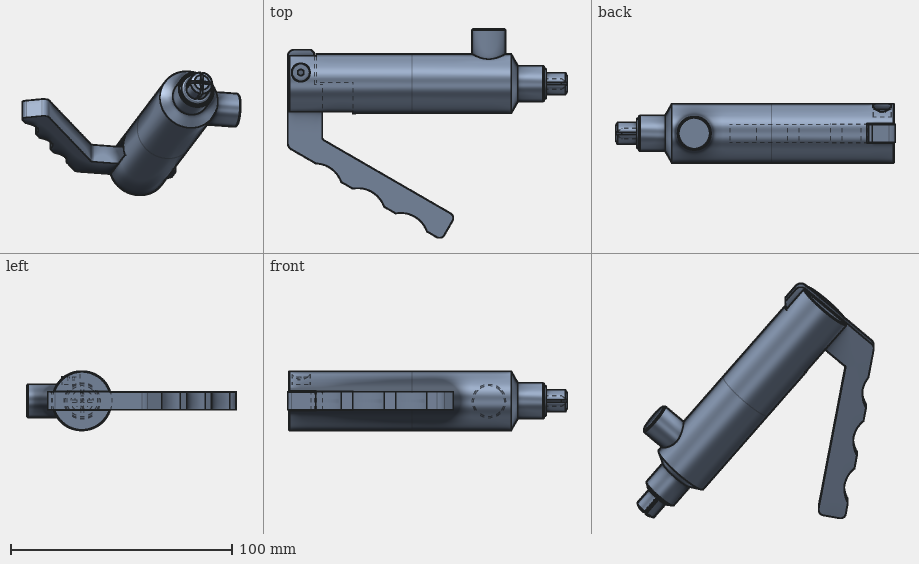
import cadquery as cq
import math

overall_length = 126.4

barrel_radius = 26.9 / 2
barrel_start = 0.5
barrel_end_chamfer = 0.4
barrel_seam_x = 56.0
barrel_end = 101.0
shoulder_end = 104.0
nose_radius = 16.4 / 2
nose_end = 115.9
nose_chamfer = 0.5
collar_end = 117.0
collar_radius = 7.0
collar_fillet = 0.9

tip_radius = 5.0
tip_cone_length = 0.9
tip_end_radius = 3.4
tip_slot_width = 1.1
core_radius = 4.8 / 2
core_cone_start = 123.8
core_end_radius = 0.4

port_radius = 15.2 / 2
port_x = 90.9
port_top = 24.9
port_chamfer = 0.6

slot_width = 8.7
through_slot_end = 12.9
pocket_end = 29.3
pocket_top = 0.6

screw_x = 6.0
screw_y = 5.0
screw_head_radius = 8.0 / 2
counterbore_radius = 8.3 / 2
counterbore_floor = 7.6
screw_head_top = 10.9
hex_across_flats = 2.7
hex_depth = 1.3

handle_thickness = 8.1
handle_top = 15.4
handle_top_width = 12.0
handle_arm_width = 15.7
handle_clearance = through_slot_end - handle_top_width
handle_rear_fillet = 3.0
handle_top_chamfer = 1.5
elbow_fillet = 1.3

grip_angle = math.radians(30)
grip_length = 95.6
grip_front_drop = 13.9
grip_heel_drop = 24.9
grip_back_drop = 26.4
grip_end_fillet = 2.5
scallop_radius = 24.9 / 2
scallop_depth = 3.0
scallop_count = 3
first_scallop = 35.0
scallop_pitch = 22.4


def cylinder_along_x(start, end, radius):
    return cq.Workplane("YZ", origin=(start, 0, 0)).circle(radius).extrude(end - start)


def revolve_around_x(profile):
    return cq.Workplane("XY").polyline(profile).close().revolve(360, (0, 0, 0), (1, 0, 0))


def make_barrel():
    rear = cylinder_along_x(barrel_start, barrel_seam_x, barrel_radius)
    rear = rear.faces("<X").chamfer(barrel_end_chamfer)
    front = revolve_around_x([
        (barrel_seam_x, 0),
        (barrel_seam_x, barrel_radius),
        (barrel_end, barrel_radius),
        (shoulder_end, nose_radius),
        (nose_end - nose_chamfer, nose_radius),
        (nose_end, nose_radius - nose_chamfer),
        (nose_end, 0),
    ])
    collar = cylinder_along_x(nose_end, collar_end, collar_radius)
    collar = collar.faces(">X").edges().fillet(collar_fillet)
    return rear.union(front, clean=False).union(collar, clean=False)


def make_split_tip():
    tip = revolve_around_x([
        (collar_end, 0),
        (collar_end, tip_radius),
        (overall_length - tip_cone_length, tip_radius),
        (overall_length, tip_end_radius),
        (overall_length, 0),
    ])
    core = revolve_around_x([
        (collar_end, 0),
        (collar_end, core_radius),
        (core_cone_start, core_radius),
        (overall_length, core_end_radius),
        (overall_length, 0),
    ])
    tip_length = overall_length - collar_end
    slot = cq.Workplane("XY").box(tip_length, tip_slot_width, 2 * tip_radius)
    slot = slot.translate((collar_end + tip_length / 2, 0, 0))
    for angle in (0, 90):
        tip = tip.cut(slot.rotate((0, 0, 0), (1, 0, 0), angle))
    return tip.union(core)


def make_port():
    port = cq.Workplane("XZ", origin=(port_x, 0, 0)).circle(port_radius).extrude(-port_top)
    return port.faces(">Y").chamfer(port_chamfer)


def slot_block(end, bottom, top):
    block = cq.Workplane("XY").box(end, top - bottom, slot_width, centered=(False, False, True))
    return block.translate((0, bottom, 0))


def make_handle_slot():
    through_slot = slot_block(through_slot_end, -barrel_radius, barrel_radius)
    swing_pocket = slot_block(pocket_end, -barrel_radius, pocket_top)
    return through_slot.union(swing_pocket)


def make_screw_head():
    head = (
        cq.Workplane("XY", origin=(screw_x, screw_y, counterbore_floor))
        .circle(screw_head_radius)
        .extrude(screw_head_top - counterbore_floor)
    )
    hex_across_corners = hex_across_flats / math.cos(math.radians(30))
    socket = (
        cq.Workplane("XY", origin=(screw_x, screw_y, screw_head_top - hex_depth))
        .transformed(rotate=(0, 0, 30))
        .polygon(6, hex_across_corners)
        .extrude(hex_depth)
    )
    return head.cut(socket)


def make_housing():
    counterbore = (
        cq.Workplane("XY", origin=(screw_x, screw_y, counterbore_floor))
        .circle(counterbore_radius)
        .extrude(barrel_radius - counterbore_floor)
    )
    housing = make_barrel().union(make_port(), clean=False)
    housing = housing.cut(make_handle_slot(), clean=False)
    housing = housing.cut(counterbore, clean=False)
    housing = housing.union(make_screw_head(), clean=False)
    return housing.union(make_split_tip(), clean=False)


def grip_point(along, drop):
    """Point at a distance along the sloping grip and a drop square to it."""
    x = along * math.cos(grip_angle) - drop * math.sin(grip_angle)
    y = -along * math.sin(grip_angle) - drop * math.cos(grip_angle)
    return (x, y)


def grip_along(x, drop):
    """Distance along the grip at which a line of the given drop reaches x."""
    return (x + drop * math.sin(grip_angle)) / math.cos(grip_angle)


def upright_edge(body, point):
    return body.edges("|Z").edges(cq.NearestToPointSelector((point[0], point[1], 0)))


def make_handle():
    rear_top = (0, handle_top)
    front_top = (handle_top_width, handle_top)
    elbow = grip_point(grip_along(handle_arm_width, grip_front_drop), grip_front_drop)
    heel = grip_point(grip_along(0, grip_heel_drop), grip_heel_drop)
    end_front = grip_point(grip_length, grip_front_drop)
    end_back = grip_point(grip_length, grip_back_drop)
    outline = [
        rear_top,
        front_top,
        (handle_top_width, pocket_top - handle_clearance),
        (handle_arm_width, pocket_top - handle_clearance),
        elbow,
        end_front,
        end_back,
        grip_point(first_scallop, grip_back_drop),
        grip_point(first_scallop, grip_heel_drop),
        heel,
    ]
    handle = cq.Workplane("XY").polyline(outline).close().extrude(handle_thickness / 2, both=True)

    rounded_corners = [
        (rear_top, handle_rear_fillet),
        (heel, handle_rear_fillet),
        (elbow, elbow_fillet),
        (end_front, grip_end_fillet),
        (end_back, grip_end_fillet),
    ]
    for corner, radius in rounded_corners:
        handle = upright_edge(handle, corner).fillet(radius)
    handle = upright_edge(handle, front_top).chamfer(handle_top_chamfer)

    scallop_centre_drop = grip_back_drop - scallop_depth + scallop_radius
    scallop_centres = [
        grip_point(first_scallop + i * scallop_pitch, scallop_centre_drop) for i in range(scallop_count)
    ]
    scallops = (
        cq.Workplane("XY").pushPoints(scallop_centres).circle(scallop_radius)
        .extrude(handle_thickness / 2, both=True)
    )
    return handle.cut(scallops)


housing = make_housing()
handle = make_handle()

result = cq.Compound.makeCompound([housing.solids().val(), handle.solids().val()])